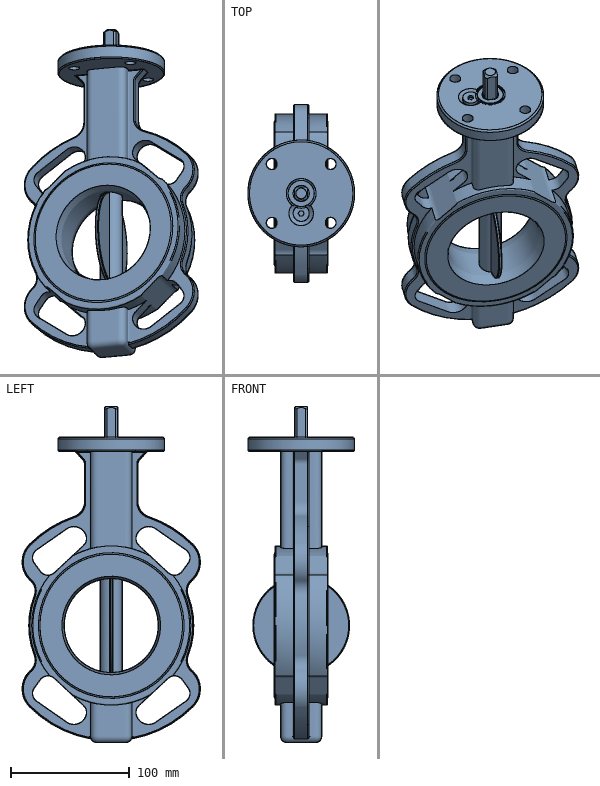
import math

import cadquery as cq


shaft_top = 184.5
flange_top = 158.5
flange_thickness = 12
flange_bottom = flange_top - flange_thickness
body_bottom = -98.5

flange_radius = 45
flange_top_chamfer = 1.5
flange_bottom_chamfer = 1
mounting_hole_diameter = 9
mounting_circle_diameter = 70
mounting_hole_count = 4
first_hole_angle = 45

shaft_square = 11
shaft_corner_diameter = 13.3
shaft_top_chamfer = 1
shaft_clearance_diameter = 13.6
bushing_diameter = 22
bushing_groove_outer_diameter = 25
bushing_recess_depth = 1

screw_offset = 16.8
countersink_diameter = 20.6
screw_head_diameter = 13.5
countersink_depth = (countersink_diameter - screw_head_diameter) / 2
screw_head_drop = 0.5
screw_socket_width = 5
screw_socket_depth = 2

neck_width = 34.6
neck_corner_radius = 5.8
neck_root_radius = 1
neck_bottom_radius = 5

ring_radius = 67
ring_half_length = 22.2
ring_edge_radius = 1
liner_outer_radius = 61.3
liner_projection = 0.5
liner_half_length = ring_half_length + liner_projection
liner_face_radius = 60
bore_radius = 39.5
bore_mouth_radius = 41.5
bore_taper_length = 9

web_thickness = 13
web_edge_chamfer = 1
web_ring_radius = 69.5
web_outer_radius = 97
rib_half_width = 22.5
rib_flare = 8
rib_flare_height = 8.5
rib_flare_radius = 6
rib_root_radius = 13
lug_end_radius = 21
lug_root_radius = 11.6
lug_angle = 44.7
lug_tail_angle = -105

slot_outer_angle = 55.2
slot_outer_distance = 88.1
slot_inner_angle = 47
slot_inner_distance = 65.2
slot_end_angle = -36.2
slot_end_distance = 21.2
slot_neck_distance = 20.8
slot_corner_radius = 8
slot_top_corner_radius = 10.6

disc_radius = 40.7
disc_thickness = 3
disc_rim_chamfer = 0.7
disc_hub_diameter = 18.8

selection_margin = 1


def polar(radius, degrees):
    """Point at a radius and an angle from the first axis."""
    angle = math.radians(degrees)
    return (radius * math.cos(angle), radius * math.sin(angle))


def shifted(point, offset):
    return (point[0] + offset[0], point[1] + offset[1])


def crossing(angle_a, distance_a, angle_b, distance_b):
    """Crossing point of two lines given by normal direction and distance from the origin."""
    ax, ay = polar(1, angle_a)
    bx, by = polar(1, angle_b)
    determinant = ax * by - ay * bx
    return (
        (distance_a * by - distance_b * ay) / determinant,
        (distance_b * ax - distance_a * bx) / determinant,
    )


def around_x(radius, half_length):
    """Cylinder on the bore axis, centred at the origin."""
    return cq.Workplane("YZ").circle(radius).extrude(half_length, both=True)


def in_four_quadrants(quadrant):
    """The shape of the +Y +Z quadrant mirrored about both planes of symmetry."""
    upper = quadrant.union(quadrant.mirror("XZ"))
    return upper.union(upper.mirror("XY"))


def near(half_width, z):
    """Selector for what lies near (+-half_width, z) on either side of the shaft."""
    boxes = [
        cq.selectors.BoxSelector(
            (-ring_half_length, side * half_width - selection_margin, z - selection_margin),
            (ring_half_length, side * half_width + selection_margin, z + selection_margin),
        )
        for side in (-1, 1)
    ]
    return boxes[0] + boxes[1]


def lug():
    """Fan from the bore axis to the lug's rounded end, without its slot."""
    centre = polar(web_outer_radius - lug_end_radius, lug_angle)
    tail = shifted(centre, polar(lug_end_radius, lug_tail_angle))
    return (
        cq.Workplane("YZ")
        .lineTo(0, web_outer_radius)
        .threePointArc(
            polar(web_outer_radius, (lug_angle + 90) / 2), polar(web_outer_radius, lug_angle)
        )
        .threePointArc(shifted(centre, polar(lug_end_radius, 0)), tail)
        .close()
        .extrude(web_thickness / 2, both=True)
    )


def lug_root_point():
    """Point where the lug's end arc meets the web ring."""
    centre_radius = web_outer_radius - lug_end_radius
    cosine = (web_ring_radius**2 + centre_radius**2 - lug_end_radius**2) / (
        2 * web_ring_radius * centre_radius
    )
    return polar(web_ring_radius, lug_angle - math.degrees(math.acos(cosine)))


def web():
    flare_start = flange_bottom - rib_flare_height
    rib = (
        cq.Workplane("YZ")
        .moveTo(-rib_half_width, 0)
        .lineTo(-rib_half_width, flare_start)
        .lineTo(-rib_half_width - rib_flare, flange_bottom)
        .lineTo(rib_half_width + rib_flare, flange_bottom)
        .lineTo(rib_half_width, flare_start)
        .lineTo(rib_half_width, 0)
        .close()
        .extrude(web_thickness / 2, both=True)
    )
    plate = around_x(web_ring_radius, web_thickness / 2).union(in_four_quadrants(lug())).union(rib)

    root_y, root_z = lug_root_point()
    rib_root_z = math.sqrt(web_outer_radius**2 - rib_half_width**2)
    lug_roots = near(root_y, root_z) + near(root_y, -root_z)
    plate = plate.edges("|X").edges(lug_roots).fillet(lug_root_radius)
    plate = plate.edges("|X").edges(near(rib_half_width, rib_root_z)).fillet(rib_root_radius)
    plate = plate.edges("|X").edges(near(rib_half_width, flare_start)).fillet(rib_flare_radius)
    return plate.faces("<X or >X").chamfer(web_edge_chamfer)


def slot():
    """Slot of one lug, running through the full length of the ring."""
    neck_top = crossing(0, slot_neck_distance, slot_outer_angle, slot_outer_distance)
    neck_low = crossing(0, slot_neck_distance, slot_inner_angle, slot_inner_distance)
    end_low = crossing(slot_end_angle, slot_end_distance, slot_inner_angle, slot_inner_distance)
    end_top = crossing(slot_end_angle, slot_end_distance, slot_outer_angle, slot_outer_distance)
    corners = [neck_top, neck_low, end_low, end_top]
    block = cq.Workplane("YZ").polyline(corners).close().extrude(2 * ring_half_length, both=True)
    block = block.edges("|X").edges(near(*neck_top)).fillet(slot_top_corner_radius)
    return block.edges("|X").edges(
        near(*neck_low) + near(*end_low) + near(*end_top)
    ).fillet(slot_corner_radius)


def neck():
    return (
        cq.Workplane("XY", origin=(0, 0, body_bottom))
        .rect(neck_width, neck_width)
        .extrude(flange_bottom - body_bottom)
        .edges("|Z")
        .fillet(neck_corner_radius)
        .faces("<Z")
        .edges()
        .fillet(neck_bottom_radius)
    )


def neck_root_coves():
    """Fillets along the four long corners between the neck and the web."""
    web_face = web_thickness / 2
    neck_side = neck_width / 2
    arc_centre = (web_face + neck_root_radius, neck_side + neck_root_radius)
    cove = (
        cq.Workplane("XY", origin=(0, 0, body_bottom + neck_bottom_radius))
        .moveTo(web_face, neck_side)
        .lineTo(arc_centre[0], neck_side)
        .threePointArc(shifted(arc_centre, polar(neck_root_radius, 225)), (web_face, arc_centre[1]))
        .close()
        .extrude(flange_bottom - body_bottom - neck_bottom_radius)
    )
    one_side = cove.union(cove.mirror("YZ"))
    return one_side.union(one_side.mirror("XZ"))


def turned(half_profile):
    """Solid turned about the bore axis from the +X half of its (x, radius) profile."""
    other_half = [(-x, radius) for x, radius in reversed(half_profile)]
    first_x = other_half[0][0]
    profile = [(first_x, 0)] + other_half + half_profile + [(-first_x, 0)]
    return cq.Workplane("XY").polyline(profile).close().revolve(360, (0, 0, 0), (1, 0, 0))


def ring():
    """Body ring with the liner standing proud of both its faces."""
    body = around_x(ring_radius, ring_half_length).faces("<X or >X").edges().fillet(ring_edge_radius)
    liner = turned([(ring_half_length, liner_outer_radius), (liner_half_length, liner_face_radius)])
    return body.union(liner)


def bore():
    """Bore with tapered mouths."""
    throat_end = liner_half_length - bore_taper_length
    return turned([(throat_end, bore_radius), (liner_half_length, bore_mouth_radius)])


def flange():
    return (
        cq.Workplane("XY", origin=(0, 0, flange_bottom))
        .circle(flange_radius)
        .extrude(flange_thickness)
        .faces(">Z")
        .chamfer(flange_top_chamfer)
        .faces("<Z")
        .chamfer(flange_bottom_chamfer)
    )


def flange_cylinder(diameter, depth):
    """Cylinder on the shaft axis, sunk to a depth below the flange's top."""
    return cq.Workplane("XY", origin=(0, 0, flange_top)).circle(diameter / 2).extrude(-depth)


def bushing_recesses():
    """Groove around the bushing and clearance between the bushing and the square shaft."""
    outer = flange_cylinder(bushing_groove_outer_diameter, bushing_recess_depth)
    bushing = flange_cylinder(bushing_diameter, bushing_recess_depth)
    clearance = flange_cylinder(shaft_clearance_diameter, bushing_recess_depth)
    return outer.cut(bushing).union(clearance)


def mounting_holes():
    return (
        cq.Workplane("XY", origin=(0, 0, flange_bottom))
        .polarArray(mounting_circle_diameter / 2, first_hole_angle, 360, mounting_hole_count)
        .circle(mounting_hole_diameter / 2)
        .extrude(flange_thickness)
    )


def screw_recess():
    """Countersink around the flat screw head, stopping at the bushing, and the socket."""
    seat = cq.Workplane("XY", origin=(0, -screw_offset, flange_top))
    cone = (
        seat.circle(countersink_diameter / 2)
        .workplane(offset=-countersink_depth)
        .circle(screw_head_diameter / 2)
        .loft()
    )
    head_height = countersink_depth - screw_head_drop
    head = (
        seat.workplane(offset=-countersink_depth)
        .circle(screw_head_diameter / 2)
        .extrude(head_height)
    )
    socket = (
        seat.workplane(offset=-screw_head_drop)
        .polygon(6, screw_socket_width)
        .extrude(-screw_socket_depth)
    )
    bushing = flange_cylinder(bushing_diameter, countersink_depth)
    return cone.cut(head).cut(bushing).union(socket)


def shaft():
    """Square bar with rounded corners and a conical tip."""
    start_height = flange_top - bushing_recess_depth
    length = shaft_top - start_height
    tip_chamfer = shaft_top_chamfer + (shaft_corner_diameter - shaft_square) / 2
    start = cq.Workplane("XY", origin=(0, 0, start_height))
    round_bar = start.circle(shaft_corner_diameter / 2).extrude(length)
    round_bar = round_bar.faces(">Z").chamfer(tip_chamfer)
    return start.rect(shaft_square, shaft_square).extrude(length).intersect(round_bar)


def disc():
    plate = cq.Workplane("XZ").circle(disc_radius).extrude(disc_thickness / 2, both=True)
    plate = plate.faces("<Y or >Y").chamfer(disc_rim_chamfer)
    hub = cq.Workplane("XY").circle(disc_hub_diameter / 2).extrude(disc_radius, both=True)
    return plate.union(hub)


body = web().union(neck()).union(neck_root_coves()).union(ring())
body = body.cut(in_four_quadrants(slot())).cut(bore())
top_works = flange().cut(mounting_holes()).cut(bushing_recesses()).cut(screw_recess()).union(shaft())
result = body.union(top_works).union(disc())